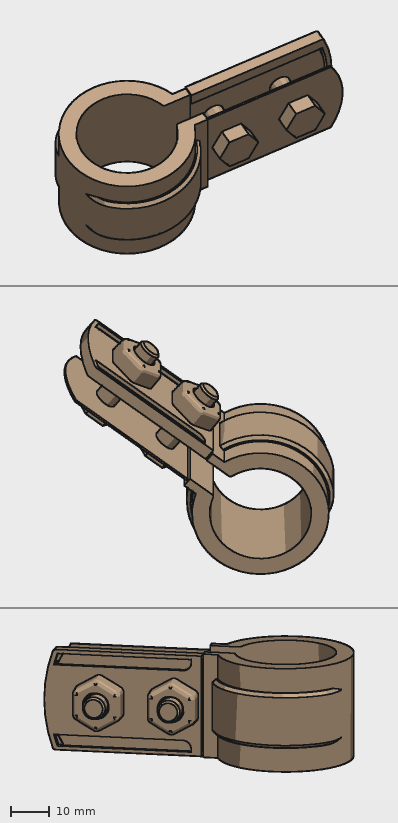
import cadquery as cq
import math


RING_WIDTH = 28.0
RING_RADIUS = 18.0
BORE_RADIUS = 13.3
GAP_WIDTH = 7.0
LIP_THICKNESS = 2.5
LIP_END_Y = 20.9
BORE_EDGE_FILLET = 0.8

PAD_WIDTH = 14.9
PAD_RADIUS = 19.4
PAD_CHAMFER = 1.0
PAD_BEND_X = 14.6
PAD_END_X = 6.5
PAD_END_Y = -16.4

COVER_TIP_Y = 81.3 - RING_RADIUS
COVER_START_Y = 21.2
COVER_THICKNESS = 3.25
COVER_HALF_WIDTH = 13.6
COVER_END_RADIUS = 38.2
COVER_CORNER_FILLET = 1.0
COVER_END_WALL = 1.4
COVER_BACK_X = -GAP_WIDTH / 2
COVER_FRONT_X = COVER_BACK_X - COVER_THICKNESS
BACK_OPENING_HALF_WIDTH = 10.0
SLOT_DEPTH = 1.1
SLOT_START_Y = 24.0
SLOT_INNER_Z = 9.4
SLOT_CORNER_FILLET = 2.2
POCKET_TIP_Y = COVER_TIP_Y - COVER_END_WALL
POCKET_END_RADIUS = COVER_END_RADIUS - COVER_END_WALL

BAND_THICKNESS = 0.6
BAND_HALF_WIDTH = 12.5
BAND_END_RADIUS = 23.75
BAND_LOOP_RADIUS = (BORE_RADIUS + RING_RADIUS) / 2

BARE_TAIL_X0 = (GAP_WIDTH + LIP_THICKNESS - BAND_THICKNESS) / 2
BARE_TAIL_X1 = BARE_TAIL_X0 + BAND_THICKNESS

COVERED_TAIL_X0 = COVER_FRONT_X + SLOT_DEPTH
COVERED_TAIL_X1 = COVERED_TAIL_X0 + BAND_THICKNESS

CAP_HEIGHT = 5.1
CAP_FLATS = 13.0
CAP_TAPER = 2
CAP_CORNER_FILLET = 1.6
CAP_TOP_FILLET = 1.5
CAP_HOLE_DIAMETER = 7.0

BOLT_SPACING = 20.0
FIRST_BOLT_Y = 28.55
BOLT_YS = [FIRST_BOLT_Y, FIRST_BOLT_Y + BOLT_SPACING]
BOLT_DIAMETER = 6.0
BOLT_TIP_DIAMETER = 4.9
BOLT_TIP_X = -14.8
HEX_FLATS = 10.0
HEAD_HEIGHT = 4.15
NUT_HEIGHT = 5.0


def box_between(x0, x1, y0, y1, z0, z1):
    """Box given by its limits along each axis."""
    return cq.Workplane("XY").box(x1 - x0, y1 - y0, z1 - z0, centered=False).translate((x0, y0, z0))


def disc(radius, width):
    """Cylinder on the Z axis, centred on the XY plane."""
    return cq.Workplane("XY").circle(radius).extrude(width / 2, both=True)


def tongue(x0, x1, start_y, tip_y, half_width, end_radius):
    """Flat strip along Y between two X planes, with a round far end."""
    side_y = tip_y - end_radius + math.sqrt(end_radius**2 - half_width**2)
    return (
        cq.Workplane("YZ", origin=(x0, 0, 0))
        .moveTo(start_y, -half_width)
        .lineTo(side_y, -half_width)
        .threePointArc((tip_y, 0), (side_y, half_width))
        .lineTo(start_y, half_width)
        .close()
        .extrude(x1 - x0)
    )


def rod(x0, x1, y, diameter):
    """Cylinder along X at a bolt position."""
    return cq.Workplane("YZ", origin=(x0, y, 0)).circle(diameter / 2).extrude(x1 - x0)


def hex_block(x0, x1, y, flats, corners_along_y):
    """Hexagonal prism along X at a bolt position, with its corners along Y or along Z."""
    turn = 90 if corners_along_y else 0
    block = cq.Workplane("YZ").polygon(6, flats, circumscribed=True).extrude(x1 - x0)
    return block.rotate((0, 0, 0), (1, 0, 0), turn).translate((x0, y, 0))


def make_band():
    """Loop inside the ring, open at the gap, with two straight tails."""
    width = 2 * BAND_HALF_WIDTH
    loop_outer = BAND_LOOP_RADIUS + BAND_THICKNESS / 2
    loop_inner = loop_outer - BAND_THICKNESS
    mouth = box_between(
        COVERED_TAIL_X1, BARE_TAIL_X0, 0, RING_RADIUS, -BAND_HALF_WIDTH, BAND_HALF_WIDTH
    )
    band = disc(loop_outer, width).cut(disc(loop_inner, width)).cut(mouth)
    for x0, x1 in ((BARE_TAIL_X0, BARE_TAIL_X1), (COVERED_TAIL_X0, COVERED_TAIL_X1)):
        inner_face_x = min(abs(x0), abs(x1))
        start_y = math.sqrt(loop_inner**2 - inner_face_x**2)
        band = band.union(tongue(x0, x1, start_y, POCKET_TIP_Y, BAND_HALF_WIDTH, BAND_END_RADIUS))
    for y in BOLT_YS:
        band = band.cut(rod(COVERED_TAIL_X0, BARE_TAIL_X1, y, BOLT_DIAMETER))
    return band


def make_pads():
    """Cam-shaped disc whose flanks stand out from the ring, chamfered on both rims."""
    bend_y = -math.sqrt(PAD_RADIUS**2 - PAD_BEND_X**2)
    return (
        cq.Workplane("XY")
        .moveTo(-PAD_BEND_X, bend_y)
        .threePointArc((0, PAD_RADIUS), (PAD_BEND_X, bend_y))
        .tangentArcPoint((PAD_END_X, PAD_END_Y), relative=False)
        .lineTo(-PAD_END_X, PAD_END_Y)
        .tangentArcPoint((-PAD_BEND_X, bend_y), relative=False)
        .close()
        .extrude(PAD_WIDTH / 2, both=True)
        .faces("<Z or >Z")
        .chamfer(PAD_CHAMFER)
    )


def make_keyhole():
    """Bore and gap of the ring as one shape, with rounded edges where they meet."""
    half_gap = GAP_WIDTH / 2
    half_width = RING_WIDTH / 2
    gap = box_between(-half_gap, half_gap, 0, LIP_END_Y, -half_width, half_width)
    keyhole = disc(BORE_RADIUS, RING_WIDTH).union(gap)
    bore_edge_y = math.sqrt(BORE_RADIUS**2 - half_gap**2)
    for x in (-half_gap, half_gap):
        bore_edge = cq.selectors.NearestToPointSelector((x, bore_edge_y, 0))
        keyhole = keyhole.edges(bore_edge).fillet(BORE_EDGE_FILLET)
    return keyhole


def make_ring(band):
    """Split rubber ring with two lips, moulded around the band."""
    lip_outer_x = GAP_WIDTH / 2 + LIP_THICKNESS
    half_width = RING_WIDTH / 2
    lips = box_between(-lip_outer_x, lip_outer_x, 0, LIP_END_Y, -half_width, half_width)
    ring = disc(RING_RADIUS, RING_WIDTH).union(make_pads()).union(lips)
    return ring.cut(make_keyhole()).cut(band)


def make_cap(y):
    """Tapered hexagonal cap with rounded edges, standing on the front of the cover."""
    return (
        cq.Workplane("YZ")
        .polygon(6, CAP_FLATS, circumscribed=True)
        .extrude(-CAP_HEIGHT, taper=CAP_TAPER)
        .edges("not #X")
        .fillet(CAP_CORNER_FILLET)
        .faces("<X")
        .edges()
        .fillet(CAP_TOP_FILLET)
        .translate((COVER_FRONT_X, y, 0))
    )


def make_slots():
    """Two long slots through the front of the cover, following the round end of its pocket."""
    slot = box_between(
        COVER_FRONT_X, COVERED_TAIL_X0, SLOT_START_Y, COVER_TIP_Y, SLOT_INNER_Z, BAND_HALF_WIDTH
    )
    slot = slot.edges("|X and <Y and <Z").fillet(SLOT_CORNER_FILLET)
    end_shape = tongue(
        COVER_FRONT_X, COVERED_TAIL_X0, COVER_START_Y, POCKET_TIP_Y, BAND_HALF_WIDTH, POCKET_END_RADIUS
    )
    slot = slot.intersect(end_shape)
    return slot.union(slot.mirror("XY"))


def make_nut_blank(y):
    """Hexagon of a nut without its hole, seated against the band tail."""
    return hex_block(COVERED_TAIL_X0 - NUT_HEIGHT, COVERED_TAIL_X0, y, HEX_FLATS, corners_along_y=False)


def make_cover():
    """Cover with a pocket for the band tail, front slots, an open back and two nut caps."""
    cover = tongue(
        COVER_FRONT_X, COVER_BACK_X, COVER_START_Y, COVER_TIP_Y, COVER_HALF_WIDTH, COVER_END_RADIUS
    )
    cover = cover.edges("|X").edges(">Y").fillet(COVER_CORNER_FILLET)
    for y in BOLT_YS:
        cover = cover.union(make_cap(y))
    pocket = tongue(
        COVERED_TAIL_X0, COVERED_TAIL_X1, COVER_START_Y, POCKET_TIP_Y, BAND_HALF_WIDTH, POCKET_END_RADIUS
    )
    back_opening = tongue(
        COVERED_TAIL_X1,
        COVER_BACK_X,
        COVER_START_Y,
        POCKET_TIP_Y,
        BACK_OPENING_HALF_WIDTH,
        POCKET_END_RADIUS,
    )
    cover = cover.cut(pocket).cut(back_opening).cut(make_slots())
    for y in BOLT_YS:
        cover = cover.cut(make_nut_blank(y))
        cover = cover.cut(rod(COVER_FRONT_X - CAP_HEIGHT, COVERED_TAIL_X0, y, CAP_HOLE_DIAMETER))
    return cover


def make_nut(y):
    """Hexagon nut hidden in a cap, filled by the bolt shank."""
    nut = make_nut_blank(y)
    return nut.cut(rod(COVERED_TAIL_X0 - NUT_HEIGHT, COVERED_TAIL_X0, y, BOLT_DIAMETER))


def make_bolt(y):
    """Hexagon bolt with its head against the +X tail and a chamfered tip."""
    tip_chamfer = (BOLT_DIAMETER - BOLT_TIP_DIAMETER) / 2
    shank = rod(BOLT_TIP_X, BARE_TAIL_X1, y, BOLT_DIAMETER).faces("<X").chamfer(tip_chamfer)
    head = hex_block(BARE_TAIL_X1, BARE_TAIL_X1 + HEAD_HEIGHT, y, HEX_FLATS, corners_along_y=True)
    return shank.union(head)


band = make_band()
ring = make_ring(band)
cover = make_cover()
nuts = [make_nut(y) for y in BOLT_YS]
bolts = [make_bolt(y) for y in BOLT_YS]

bodies = [ring, band, cover, *nuts, *bolts]

result = cq.Compound.makeCompound([body.solids().val() for body in bodies])